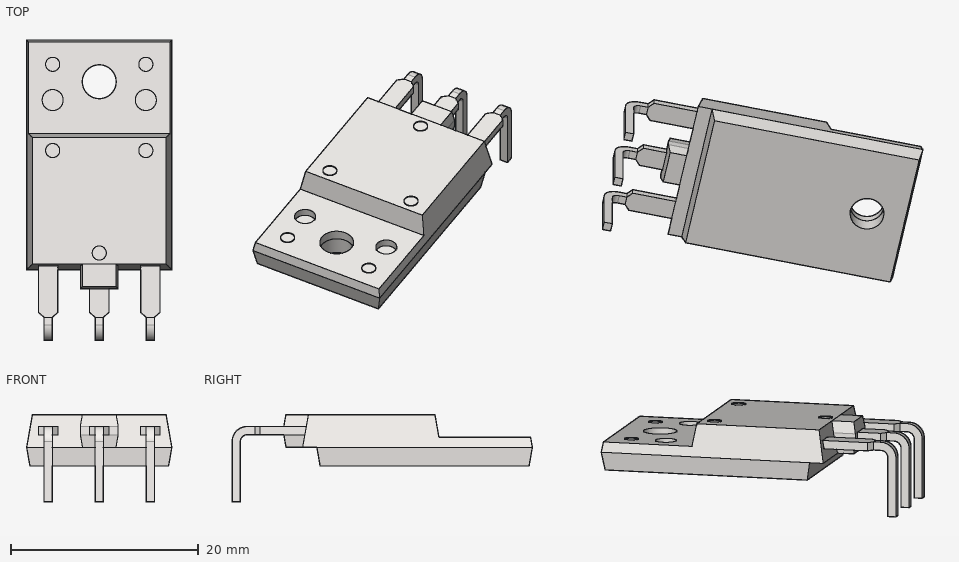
import cadquery as cq
import math


overall_length = 32.05
overall_height = 9.3

housing_width = 15.5
housing_length = 24.52
housing_top = 3.5
plate_top = 1.1
housing_bottom = -2.0
step_y = housing_length - 9.97
lower_length = 23.0
wall_draft = 10.0

tab_reach = 2.02
tab_width = 4.05

screw_hole_diameter = 3.6
screw_hole_y = housing_length - 4.45
blind_hole_diameter = 2.25
blind_hole_depth = 0.83
blind_hole_y = housing_length - 6.4

mark_diameter = 1.5
mark_depth = 0.1
side_column_x = 4.97
plate_mark_y = housing_length - 2.6
block_mark_y = housing_length - 11.8
front_mark_y = housing_length - 22.72

lead_pitch = 5.45
lead_thickness = 0.9
lead_top = 2.25
lead_bottom = lead_top - lead_thickness
lead_wide = 2.08
lead_narrow = 0.9
lead_root_y = 0.95
lead_reach = overall_length - housing_length
taper_start_y = -4.55
taper_length = 0.5
taper_end_y = taper_start_y - taper_length
bend_outer_radius = 1.65
bend_inner_radius = bend_outer_radius - lead_thickness
lead_tip_z = housing_top - overall_height

lead_positions = [-lead_pitch, 0, lead_pitch]
mark_positions = [
    (-side_column_x, plate_mark_y, plate_top),
    (side_column_x, plate_mark_y, plate_top),
    (-side_column_x, block_mark_y, housing_top),
    (side_column_x, block_mark_y, housing_top),
    (0, front_mark_y, housing_top),
]


def draft_inset(height):
    """Sideways shift of a drafted wall over the given height."""
    return abs(height) * math.tan(math.radians(wall_draft))


def side_prism(points, width):
    """Extrude a (Y, Z) outline to the given width, centred on X = 0."""
    return cq.Workplane("YZ").polyline(points).close().extrude(width / 2, both=True)


def front_prism(points, front_y, back_y):
    """Extrude an (X, Z) outline from front_y back to back_y."""
    return cq.Workplane("XZ", origin=(0, back_y, 0)).polyline(points).close().extrude(back_y - front_y)


def cylinder(x, y, bottom, top, diameter):
    """Upright cylinder between two heights."""
    return cq.Workplane("XY", origin=(x, y, bottom)).circle(diameter / 2).extrude(top - bottom)


def make_upper_outline():
    """Plate and tall block: side and end outlines intersected, so that all walls have draft."""
    top_inset = draft_inset(housing_top)
    plate_inset = draft_inset(plate_top)
    step_inset = draft_inset(housing_top - plate_top)
    side_outline = side_prism([
        (0, 0),
        (top_inset, housing_top),
        (step_y - step_inset, housing_top),
        (step_y, plate_top),
        (housing_length - plate_inset, plate_top),
        (housing_length, 0),
    ], housing_width)

    half_width = housing_width / 2
    half_top = half_width - draft_inset(housing_top)
    end_outline = front_prism([
        (-half_width, 0),
        (-half_top, housing_top),
        (half_top, housing_top),
        (half_width, 0),
    ], 0, housing_length)
    return side_outline.intersect(end_outline)


def make_lower_housing():
    """Drafted slab under the parting plane with the screw hole."""
    inset = draft_inset(housing_bottom)
    slab = (
        cq.Workplane("XY", origin=(0, housing_length - lower_length / 2, 0))
        .rect(housing_width, lower_length)
        .workplane(offset=housing_bottom)
        .rect(housing_width - 2 * inset, lower_length - 2 * inset)
        .loft(ruled=True)
    )
    return slab.cut(cylinder(0, screw_hole_y, housing_bottom, 0, screw_hole_diameter))


def make_tab(blade):
    """Tab against the front wall around the middle lead, straight at lead height, drafted above and below."""
    wall_inset = draft_inset(housing_top)
    top_inset = draft_inset(housing_top - lead_top)
    bottom_inset = draft_inset(lead_bottom)
    side_outline = side_prism([
        (0, 0),
        (wall_inset, housing_top),
        (top_inset - tab_reach, housing_top),
        (-tab_reach, lead_top),
        (-tab_reach, lead_bottom),
        (bottom_inset - tab_reach, 0),
    ], tab_width)
    half_width = tab_width / 2
    half_top = half_width - top_inset
    half_bottom = half_width - bottom_inset
    end_outline = front_prism([
        (-half_bottom, 0),
        (-half_width, lead_bottom),
        (-half_width, lead_top),
        (-half_top, housing_top),
        (half_top, housing_top),
        (half_width, lead_top),
        (half_width, lead_bottom),
        (half_bottom, 0),
    ], -tab_reach, wall_inset)
    return side_outline.intersect(end_outline).cut(blade)


def make_lead_blade(x):
    """Flat wide part of a lead, from inside the housing to its narrowed end."""
    return (
        cq.Workplane("XY", origin=(x, 0, lead_bottom))
        .polyline([
            (-lead_wide / 2, lead_root_y),
            (lead_wide / 2, lead_root_y),
            (lead_wide / 2, taper_start_y),
            (lead_narrow / 2, taper_end_y),
            (-lead_narrow / 2, taper_end_y),
            (-lead_wide / 2, taper_start_y),
        ])
        .close()
        .extrude(lead_thickness)
    )


def make_lead_leg(x):
    """Narrow part of a lead, from the end of the blade round the bend and down to the tip."""
    bend_y = bend_outer_radius - lead_reach
    bend_z = lead_top - bend_outer_radius
    inner_y = lead_thickness - lead_reach
    diagonal = math.sqrt(0.5)
    return (
        cq.Workplane("YZ", origin=(x, 0, 0))
        .moveTo(taper_end_y, lead_top)
        .lineTo(bend_y, lead_top)
        .threePointArc(
            (bend_y - bend_outer_radius * diagonal, bend_z + bend_outer_radius * diagonal),
            (-lead_reach, bend_z),
        )
        .lineTo(-lead_reach, lead_tip_z)
        .lineTo(inner_y, lead_tip_z)
        .lineTo(inner_y, bend_z)
        .threePointArc(
            (bend_y - bend_inner_radius * diagonal, bend_z + bend_inner_radius * diagonal),
            (bend_y, lead_bottom),
        )
        .lineTo(taper_end_y, lead_bottom)
        .close()
        .extrude(lead_narrow / 2, both=True)
    )


def make_upper_housing(blades):
    """Upper half with its plate holes, round marks and lead sockets."""
    body = make_upper_outline()
    body = body.cut(cylinder(0, screw_hole_y, 0, plate_top, screw_hole_diameter))
    blind_hole_floor = plate_top - blind_hole_depth
    for x in (-side_column_x, side_column_x):
        body = body.cut(cylinder(x, blind_hole_y, blind_hole_floor, plate_top, blind_hole_diameter))
    for x, y, surface_z in mark_positions:
        body = body.cut(cylinder(x, y, surface_z - mark_depth, surface_z, mark_diameter))
    for blade in blades:
        body = body.cut(blade)
    return body


blades = [make_lead_blade(x) for x in lead_positions]
legs = [make_lead_leg(x) for x in lead_positions]
upper_housing = make_upper_housing(blades)
lower_housing = make_lower_housing()
tab = make_tab(blades[1])

result = cq.Compound.makeCompound([
    upper_housing.val(),
    lower_housing.val(),
    tab.val(),
    *[blade.val() for blade in blades],
    *[leg.val() for leg in legs],
])